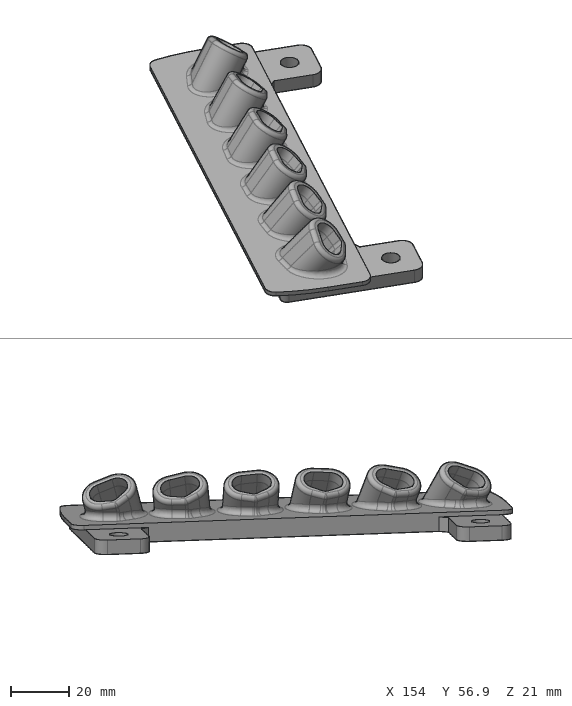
import cadquery as cq
import math

PLATE_LENGTH = 154.0
PLATE_DEPTH = 37.0
PLATE_THICKNESS = 1.5
PLATE_CORNER_RADIUS = 3.7
SIDE_STRAIGHT = 15.9
SIDE_ARC_RADIUS = 87.8

BASE_THICKNESS = 5.1
BASE_HALF_WIDTH = 72.7
BASE_FRONT_Y = -31.7
BASE_CORNER_RADIUS = 2.3
FRONT_STEP = 0.6
FRONT_STEP_OUTER_X = 68.0
FRONT_STEP_INNER_X = 64.2
TAB_WIDTH = 19.1
TAB_REACH = 19.9
TAB_CORNER_RADIUS = 3.8
TAB_ROOT_WIDTH = 3.0
TAB_ROOT_HEIGHT = 2.0
TAB_HOLE_DIAMETER = 6.3

NOZZLE_FRONT_Y = -26.3
NOZZLE_LENGTH = 17.0
NOZZLE_PITCH = 23.5
NOZZLE_PAIRS = 3
TILT_BACK = 33.0
FAN_STEP = 8.0
FLAT_WIDTH = 5.5
SIDE_RADIUS = 6.8
ROOF_PITCH = 18.0
APEX_RADIUS = 1.5
RIM_RADIUS = 1.5
ROOT_RADIUS = 1.8

WALL = 2.8
MOUTH_FLARE = 0.3
MOUTH_DEPTH = 3.7
BORE_ROOF_PITCH = 25.0
BORE_APEX_DIAMETER = 4.8
BORE_DEPTH = 13.9

EDGE_MARGIN = 1.5
HEIGHT_TOLERANCE = 0.02

PLATE_TOP = BASE_THICKNESS + PLATE_THICKNESS


def make_plate():
    """Flat plate whose sides run straight at the back and curve in towards the front."""
    half = PLATE_LENGTH / 2
    sweep = math.asin((PLATE_DEPTH - SIDE_STRAIGHT) / SIDE_ARC_RADIUS)

    def on_side_arc(angle):
        x = half - SIDE_ARC_RADIUS * (1 - math.cos(angle))
        return x, -SIDE_STRAIGHT - SIDE_ARC_RADIUS * math.sin(angle)

    mid_x, mid_y = on_side_arc(sweep / 2)
    front_x = on_side_arc(sweep)[0]
    return (
        cq.Workplane("XY", origin=(0, 0, BASE_THICKNESS))
        .moveTo(-half, 0)
        .lineTo(half, 0)
        .lineTo(half, -SIDE_STRAIGHT)
        .threePointArc((mid_x, mid_y), (front_x, -PLATE_DEPTH))
        .lineTo(-front_x, -PLATE_DEPTH)
        .threePointArc((-mid_x, mid_y), (-half, -SIDE_STRAIGHT))
        .close()
        .extrude(PLATE_THICKNESS)
        .edges("|Z and (>Y or <Y)")
        .fillet(PLATE_CORNER_RADIUS)
    )


def make_base():
    """Block under the plate with a mounting tab at each end of its back."""
    tab_inner = BASE_HALF_WIDTH - TAB_WIDTH
    right_side = [
        (FRONT_STEP_INNER_X, BASE_FRONT_Y),
        (FRONT_STEP_OUTER_X, BASE_FRONT_Y + FRONT_STEP),
        (BASE_HALF_WIDTH, BASE_FRONT_Y + FRONT_STEP),
        (BASE_HALF_WIDTH, TAB_REACH),
        (tab_inner, TAB_REACH),
        (tab_inner, TAB_ROOT_HEIGHT),
        (tab_inner - TAB_ROOT_WIDTH, 0),
    ]
    left_side = [(-x, y) for x, y in reversed(right_side)]
    base = cq.Workplane("XY").polyline(right_side + left_side).close().extrude(BASE_THICKNESS)
    base = base.edges("|Z and >Y").fillet(TAB_CORNER_RADIUS)
    base = base.edges("|Z and (<X or >X)").edges("<Y").fillet(BASE_CORNER_RADIUS)
    hole_x = BASE_HALF_WIDTH - TAB_WIDTH / 2
    hole_y = TAB_REACH - TAB_WIDTH / 2
    return (
        base.faces(">Z")
        .workplane(origin=(0, 0, BASE_THICKNESS))
        .pushPoints([(-hole_x, hole_y), (hole_x, hole_y)])
        .hole(TAB_HOLE_DIAMETER)
    )


def nozzle_plane(x, fan, along):
    """Plane square to the nozzle axis: x runs along the front flat, y from the flat to the apex."""
    tilt = math.radians(TILT_BACK)
    turn = math.radians(fan)
    axis = cq.Vector(
        math.cos(tilt) * math.sin(turn), math.sin(tilt), math.cos(tilt) * math.cos(turn)
    )
    across = cq.Vector(math.cos(turn), 0, -math.sin(turn))
    origin = cq.Vector(x, NOZZLE_FRONT_Y, PLATE_TOP) + axis * along
    return cq.Plane(origin=origin, xDir=across, normal=axis)


def nozzle_outline(plane, inset, roof_pitch, apex_radius):
    """Front flat, two round sides and a roof with a rounded apex, all set in by inset."""
    pitch = math.radians(roof_pitch)
    center_x = FLAT_WIDTH / 2
    center_y = SIDE_RADIUS
    radius = SIDE_RADIUS - inset

    def on_side(angle):
        return center_x + radius * math.cos(angle), center_y + radius * math.sin(angle)

    def mirrored(point):
        return -point[0], point[1]

    eave = on_side(math.pi / 2 - pitch)
    side_middle = on_side(-pitch / 2)
    sharp_apex_y = eave[1] + eave[0] * math.tan(pitch)
    apex_center_y = sharp_apex_y - apex_radius / math.cos(pitch)
    roof_end = (apex_radius * math.sin(pitch), apex_center_y + apex_radius * math.cos(pitch))
    return (
        cq.Workplane(plane)
        .moveTo(-center_x, inset)
        .lineTo(center_x, inset)
        .threePointArc(side_middle, eave)
        .lineTo(*roof_end)
        .threePointArc((0, apex_center_y + apex_radius), mirrored(roof_end))
        .lineTo(*mirrored(eave))
        .threePointArc(mirrored(side_middle), (-center_x, inset))
        .close()
    )


def make_nozzle(x, fan):
    """Solid nozzle with a rounded rim, cut off level with the top of the plate."""
    rim_plane = nozzle_plane(x, fan, NOZZLE_LENGTH)
    stem = nozzle_outline(rim_plane, 0, ROOF_PITCH, APEX_RADIUS).extrude(-2 * NOZZLE_LENGTH)
    rim = cq.selectors.DirectionMinMaxSelector(rim_plane.zDir)
    stem = stem.faces(rim).edges().fillet(RIM_RADIUS)
    above_plate = cq.Workplane("XY", origin=(x, NOZZLE_FRONT_Y, PLATE_TOP)).box(
        4 * NOZZLE_LENGTH, 4 * NOZZLE_LENGTH, 2 * NOZZLE_LENGTH, centered=(True, True, False)
    )
    return stem.intersect(above_plate)


def make_rooted_nozzle(plate, x, fan):
    """The plate with one nozzle, filleted where the nozzle meets the plate."""
    reach = PLATE_LENGTH / 2 - EDGE_MARGIN
    roots = cq.selectors.BoxSelector(
        (-reach, EDGE_MARGIN - PLATE_DEPTH, PLATE_TOP - HEIGHT_TOLERANCE),
        (reach, -EDGE_MARGIN, PLATE_TOP + HEIGHT_TOLERANCE),
        boundingbox=True,
    )
    return plate.union(make_nozzle(x, fan)).edges(roots).fillet(ROOT_RADIUS)


def make_bore(x, fan):
    """Blind hole along the nozzle axis with a slightly flared mouth."""

    def section(depth, inset):
        plane = nozzle_plane(x, fan, NOZZLE_LENGTH - depth)
        return nozzle_outline(plane, inset, BORE_ROOF_PITCH, BORE_APEX_DIAMETER / 2)

    throat = section(MOUTH_DEPTH, WALL + MOUTH_FLARE)
    mouth = cq.Solid.makeLoft([section(0, WALL).val(), throat.val()], True)
    return throat.extrude(MOUTH_DEPTH - BORE_DEPTH).union(cq.Workplane(mouth))


plate = make_plate()
result = plate.union(make_base())

places = [(-NOZZLE_PITCH * (i + 0.5), -FAN_STEP * (i + 0.5)) for i in range(NOZZLE_PAIRS)]
for x, fan in places:
    nozzle = make_rooted_nozzle(plate, x, fan)
    result = result.union(nozzle).union(nozzle.mirror("YZ"))
for x, fan in places:
    bore = make_bore(x, fan)
    result = result.cut(bore).cut(bore.mirror("YZ"))